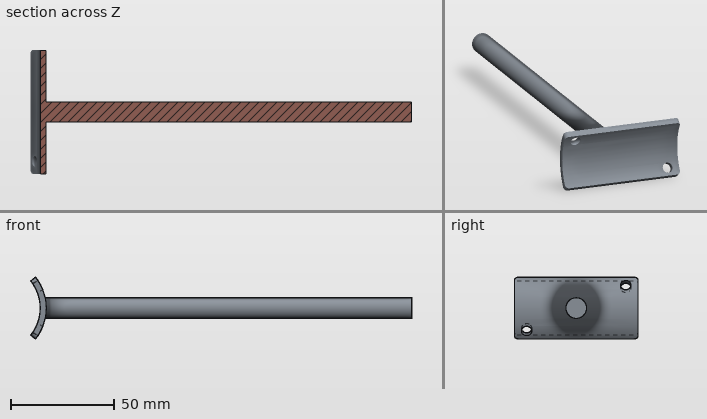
import cadquery as cq
import math

pipe_diameter = 42.4
plate_thickness = 3.0
plate_length = 60.0
plate_height = 30.0
corner_radius = 2.0

hole_diameter = 5.0
hole_end_margin = 6.0
hole_angle = 27.5

rod_diameter = 10.0
rod_length = 180.0

inner_radius = pipe_diameter / 2
outer_radius = inner_radius + plate_thickness
middle_radius = inner_radius + plate_thickness / 2
half_angle = math.degrees(math.asin(plate_height / 2 / outer_radius))
hole_offset = plate_length / 2 - hole_end_margin


def point_on_arc(radius, angle):
    """Point in the XZ plane at an angle above the +X axis."""
    return (radius * math.cos(math.radians(angle)), radius * math.sin(math.radians(angle)))


def saddle_plate():
    """Curved plate with radial end faces and rounded corners."""
    plate = (
        cq.Workplane("XZ")
        .moveTo(*point_on_arc(inner_radius, -half_angle))
        .threePointArc((inner_radius, 0), point_on_arc(inner_radius, half_angle))
        .lineTo(*point_on_arc(outer_radius, half_angle))
        .threePointArc((outer_radius, 0), point_on_arc(outer_radius, -half_angle))
        .close()
        .extrude(plate_length / 2, both=True)
    )
    for side in (-1, 1):
        x, z = point_on_arc(middle_radius, side * half_angle)
        for end in (-1, 1):
            corner = cq.selectors.NearestToPointSelector((x, end * plate_length / 2, z))
            plate = plate.edges(corner).fillet(corner_radius)
    return plate


def screw_hole(y, angle):
    """Radial cutter that runs from the pipe axis out through the plate wall."""
    x, z = point_on_arc(inner_radius, angle)
    cutter_length = outer_radius + plate_thickness
    axis_point = cq.Vector(0, y, 0)
    direction = cq.Vector(x, 0, z)
    return cq.Solid.makeCylinder(hole_diameter / 2, cutter_length, axis_point, direction)


def rod():
    """Round rod, rooted halfway into the plate wall."""
    tip = inner_radius + rod_length
    root_plane = cq.Workplane("YZ", origin=(middle_radius, 0, 0))
    return root_plane.circle(rod_diameter / 2).extrude(tip - middle_radius)


result = saddle_plate().union(rod())
for corner_sign in (-1, 1):
    result = result.cut(screw_hole(corner_sign * hole_offset, corner_sign * hole_angle))